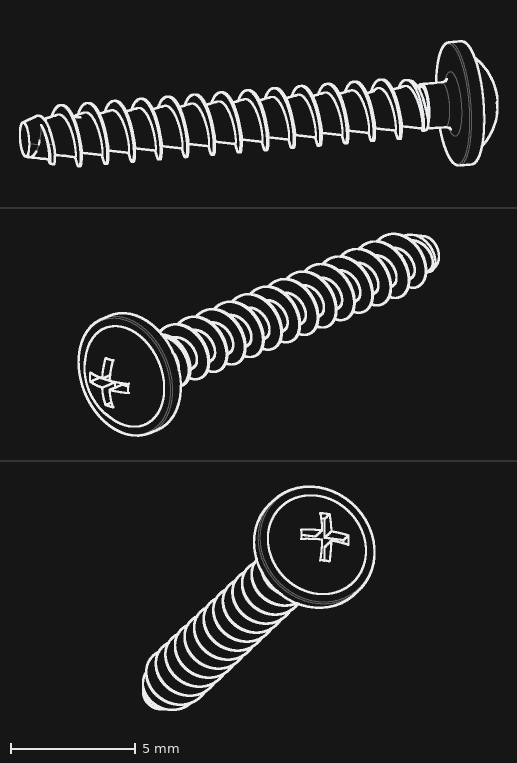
import cadquery as cq
import math


total_length = 19.76
flange_diameter = 5.0

flange_thickness = 0.61
flange_top = 18.6
flange_edge_fillet = 0.05
dome_radius = 2.47
slot_width = 0.4
slot_span = 2.02
slot_depth = 0.8

shank_radius = 0.9
shank_bottom = 16.74
neck_fillet = 0.4

turns_per_run = 15
run_length = 16.8
pitch = run_length / turns_per_run
turns = 16.5
lowest_crest_height = 0.85
core_radius = 0.71
valley_low_radius = 0.73
valley_high_radius = 0.89
crest_start_radius = 0.97
crest_upper_radius = 1.23
crest_lower_radius = 1.26
run_in_length = 0.99
tip_radius = 0.7
tip_taper_length = 1.58
core_tip_chamfer_length = 0.15
root_half_width = 0.14
crest_half_width = 0.02
crest_overshoot = 0.02
sweep_inner_radius = 0.6
valley_gap = 0.01

flange_radius = flange_diameter / 2
flange_bottom = flange_top - flange_thickness


def revolve_profile(sketch):
    """Turn a closed half-profile (radius, height) about the screw axis."""
    return sketch.close().revolve(360, (0, 0, 0), (0, 1, 0)).rotate((0, 0, 0), (1, 0, 0), 90)


def make_head():
    slot_corner_radius = slot_width / math.sqrt(2)
    dome_center = total_length - math.sqrt(dome_radius**2 - slot_corner_radius**2)
    flange = (
        cq.Workplane("XY", origin=(0, 0, flange_bottom))
        .circle(flange_radius)
        .extrude(flange_thickness)
        .edges()
        .fillet(flange_edge_fillet)
    )
    above_flange = (
        cq.Workplane("XY", origin=(0, 0, flange_bottom + flange_thickness / 2))
        .circle(flange_radius)
        .extrude(total_length)
    )
    dome = cq.Workplane("XY", origin=(0, 0, dome_center)).sphere(dome_radius).intersect(above_flange)
    slot_floor = cq.Workplane("XY", origin=(0, 0, total_length - slot_depth))
    slot_along_x = slot_floor.rect(slot_span, slot_width).extrude(2 * slot_depth)
    slot_along_y = slot_floor.rect(slot_width, slot_span).extrude(2 * slot_depth)
    return flange.union(dome).cut(slot_along_x).cut(slot_along_y)


def make_shank():
    """Smooth shank with a concave fillet flaring into the underside of the flange."""
    fillet_bottom = flange_bottom - neck_fillet
    shank_top = flange_bottom + flange_thickness / 2
    flare_radius = shank_radius + neck_fillet
    arc_offset = neck_fillet * math.sqrt(0.5)
    profile = (
        cq.Workplane("XY")
        .moveTo(0, shank_bottom)
        .lineTo(shank_radius, shank_bottom)
        .lineTo(shank_radius, fillet_bottom)
        .threePointArc(
            (flare_radius - arc_offset, fillet_bottom + arc_offset),
            (flare_radius, flange_bottom),
        )
        .lineTo(flare_radius, shank_top)
        .lineTo(0, shank_top)
    )
    return revolve_profile(profile)


def make_core():
    """Rod up the middle of the thread, narrowed slightly at the tip."""
    return (
        cq.Workplane("XY")
        .circle(core_radius)
        .extrude(shank_bottom)
        .faces("<Z")
        .chamfer(core_tip_chamfer_length, core_radius - tip_radius)
    )


def make_thread():
    """Sweep one ridge with the sloping valley below it along a helix."""
    start = lowest_crest_height - pitch
    crest_outer = crest_lower_radius + crest_overshoot
    valley_bottom = root_half_width + valley_gap - pitch
    helix = cq.Wire.makeHelix(pitch, turns * pitch, core_radius, center=cq.Vector(0, 0, start))
    ridge = (
        cq.Workplane("XZ", origin=(0, 0, start))
        .moveTo(sweep_inner_radius, valley_bottom)
        .lineTo(valley_low_radius, valley_bottom)
        .lineTo(valley_high_radius, -root_half_width)
        .lineTo(crest_outer, -crest_half_width)
        .lineTo(crest_outer, crest_half_width)
        .lineTo(valley_low_radius, root_half_width)
        .lineTo(sweep_inner_radius, root_half_width)
        .close()
    )
    return ridge.sweep(cq.Workplane(obj=helix), isFrenet=True)


def make_thread_envelope():
    """Outer limit of the thread: run-in below the shank, slightly flared crest, tapered tip."""
    profile = (
        cq.Workplane("XY")
        .lineTo(tip_radius, 0)
        .lineTo(crest_lower_radius, tip_taper_length)
        .lineTo(crest_upper_radius, shank_bottom - run_in_length)
        .lineTo(crest_start_radius, shank_bottom)
        .lineTo(0, shank_bottom)
    )
    return revolve_profile(profile)


thread = make_thread().intersect(make_thread_envelope())
screw = make_core().union(thread).union(make_shank()).union(make_head())

result = screw.rotate((0, 0, 0), (1, 0, 0), -90)